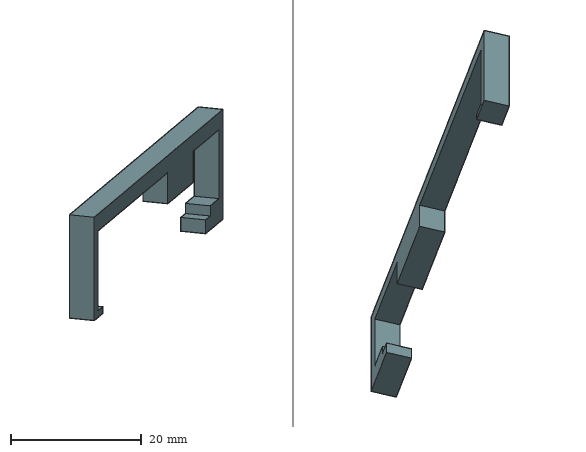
import cadquery as cq

width = 4.0
length = 60.1
height = 17.55

beam_thickness = 2.7
block_length = 12.0
block_drop = 5.0
block_offset = 13.8

long_leg_thickness = 2.0
foot_length = 8.2
foot_thickness = 2.2
step_length = 6.0
step_rise = 1.6

short_leg_height = 16.55
short_leg_thickness = 1.8
hook_length = 4.0
hook_thickness = 1.1

back = length / 2
front = -length / 2
top = height / 2
bottom = -height / 2


def bar(y_start, y_end, z_start, z_end):
    """Full-width rectangular bar spanning the given Y and Z ranges."""
    return cq.Workplane("XY").box(width, y_end - y_start, z_end - z_start).translate(
        (0, (y_start + y_end) / 2, (z_start + z_end) / 2)
    )


def make_beam():
    beam = bar(front, back, top - beam_thickness, top)
    block_back = back - block_offset
    block = bar(block_back - block_length, block_back, top - beam_thickness - block_drop, top)
    return beam.union(block)


def make_long_leg():
    leg = bar(back - long_leg_thickness, back, bottom, top)
    foot = bar(back - foot_length, back, bottom, bottom + foot_thickness)
    step = bar(back - step_length, back, bottom, bottom + foot_thickness + step_rise)
    return leg.union(foot).union(step)


def make_short_leg():
    leg_bottom = top - short_leg_height
    leg = bar(front, front + short_leg_thickness, leg_bottom, top)
    hook = bar(front, front + hook_length, leg_bottom, leg_bottom + hook_thickness)
    return leg.union(hook)


result = make_beam().union(make_long_leg()).union(make_short_leg()).clean()